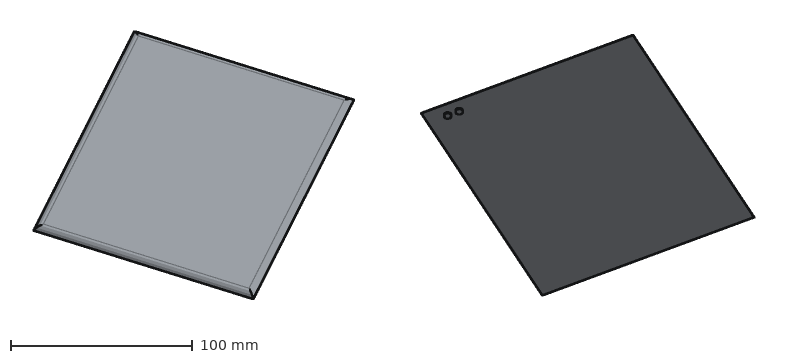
import cadquery as cq
import math

width = 130.0
length = 150.0
total_height = 3.8

foot_diameter = 4.0
foot_height = 0.9
foot_centers_x = (45.5, 52.5)
foot_center_y = 67.5

plate_thickness = total_height - foot_height
border_width = 4.2
border_radius = (border_width**2 + plate_thickness**2) / (2 * plate_thickness)


def rounded_bar(plane, span, depth):
    """Bar of the given span whose two long upper edges are rounded, centred on the plane."""
    half_span = span / 2
    half_top = half_span - border_width
    half_angle = math.asin(border_width / border_radius) / 2
    mid_x = half_top + border_radius * math.sin(half_angle)
    mid_z = plate_thickness - border_radius * (1 - math.cos(half_angle))
    return (
        cq.Workplane(plane)
        .moveTo(-half_span, 0)
        .lineTo(half_span, 0)
        .threePointArc((mid_x, mid_z), (half_top, plate_thickness))
        .lineTo(-half_top, plate_thickness)
        .threePointArc((-mid_x, mid_z), (-half_span, 0))
        .close()
        .extrude(depth / 2, both=True)
    )


plate = rounded_bar("XZ", width, length).intersect(rounded_bar("YZ", length, width))

feet = (
    cq.Workplane("XY")
    .pushPoints([(x, foot_center_y) for x in foot_centers_x])
    .circle(foot_diameter / 2)
    .extrude(-foot_height)
)

result = plate.union(feet)